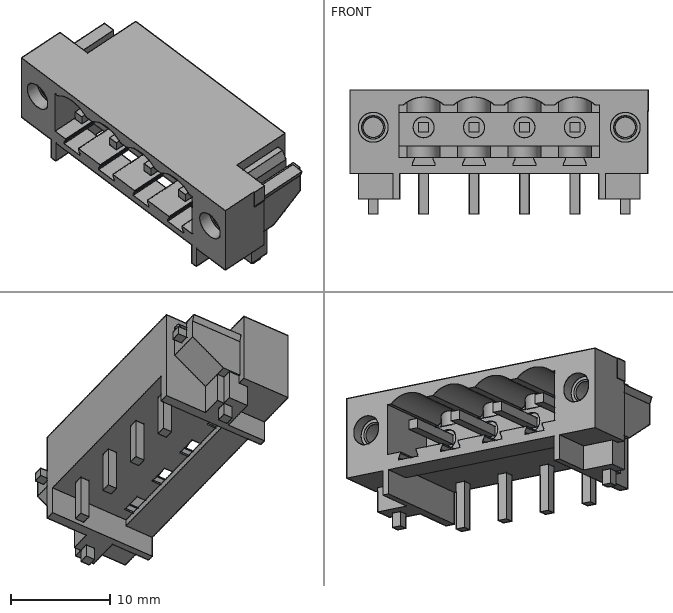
import cadquery as cq
import math


pole_count = 4
mount_spacing = 25.4
pin_size = 1.0
pin_height = 7.23
tail_length = 1.5

total_height = 11.0
total_depth = 12.0

flange_width = 30.12
flange_depth = 5.33
flange_bottom = 2.55
side_relief = 0.1
side_pad_depth = 1.35
side_pad_height = 2.1

body_width = 22.0
skirt_gap_width = 20.0
front_skirt_width = 21.4

socket_width = 20.18
socket_floor = 4.2
socket_ceiling = 9.45
socket_depth = 8.58
arch_radius = 3.05
band_bottom = 5.35
band_top = 8.73
band_front = 7.08
collar_recess_radius = 1.05
collar_recess_depth = 0.3
column_radius = 1.45
column_nose_half_width = 1.2
column_half_width = 1.65
column_flank_angle = 60

slot_floor = 3.37
slot_top_width = 1.87
slot_bottom_width = 2.3
slot_length = 4.13
slot_lip = 0.15
slot_toe = 0.2
undercut_start = 3.15

bracket_rear = 11.0
bracket_bottom = 3.55
bracket_rear_bottom = 5.95
bracket_slope_start = 7.3
bracket_outer = 14.3
lip_outer = 14.55
lip_top = 8.83
lip_bottom = 8.1
guide_top = 9.73
guide_edge = 11.65
leg_outer = 14.2
leg_front = 4.35

contact_tip = 0.9
contact_tail_rear = 10.48
anchor_front = 5.5

insert_radius = 1.5
insert_recess = 1.35
insert_end = 4.52
thread_radius = 1.02
thread_chamfer = 0.15

mount_place = mount_spacing / 2
pitch = mount_spacing / (pole_count + 1)
pole_places = [(i - (pole_count - 1) / 2) * pitch for i in range(pole_count)]
pin_half = pin_size / 2
pin_bottom = pin_height - pin_half
pin_top = pin_height + pin_half
anchor_inner = mount_place - pin_half
anchor_outer = mount_place + pin_half
anchor_tail_rear = anchor_front + pin_size


def box(x_range, y_range, z_range):
    """Box between two limits on each axis."""
    limits = (x_range, y_range, z_range)
    size = [high - low for low, high in limits]
    corner = [low for low, high in limits]
    return cq.Workplane("XY").box(*size, centered=False).translate(tuple(corner))


def centred_box(width, y_range, z_range):
    """Box centred on X = 0."""
    return box((-width / 2, width / 2), y_range, z_range)


def cylinder(x, z, radius, y_range):
    """Cylinder whose axis is parallel to Y."""
    start, end = y_range
    return cq.Workplane("XZ", origin=(x, start, z)).circle(radius).extrude(start - end)


def bent_pin(x, y_start, y_end, tail_front):
    """Square pin with a horizontal arm and a tail that goes down through the board."""
    x_range = (x - pin_half, x + pin_half)
    arm = box(x_range, (y_start, y_end), (pin_bottom, pin_top))
    tail = box(x_range, (tail_front, tail_front + pin_size), (-tail_length, pin_top))
    return arm.union(tail)


def make_contact(x):
    return bent_pin(x, contact_tip, contact_tail_rear, contact_tail_rear - pin_size)


def make_anchor(x):
    return bent_pin(x, anchor_front, total_depth, anchor_front)


def make_insert(x):
    """Bushing with a chamfered bore."""
    sleeve = cylinder(x, pin_height, insert_radius, (insert_recess, insert_end))
    bore = cylinder(x, pin_height, thread_radius, (insert_recess, insert_end))
    bore_rim = cq.selectors.RadiusNthSelector(0)
    return sleeve.cut(bore).faces("<Y").edges(bore_rim).chamfer(thread_chamfer)


def make_shell():
    """Solid body, flange and skirts before anything is hollowed out."""
    body = centred_box(body_width, (0, total_depth), (flange_bottom, total_height))
    flange = centred_box(flange_width, (0, flange_depth), (flange_bottom, total_height))
    rear_skirts = centred_box(body_width, (flange_depth, total_depth), (0, flange_bottom))
    front_skirts = centred_box(front_skirt_width, (0, flange_depth), (0, flange_bottom))
    skirt_gap = centred_box(skirt_gap_width, (0, total_depth), (0, flange_bottom))
    relief_range = (flange_width / 2 - side_relief, flange_width / 2)
    relief = box(relief_range, (0, flange_depth), (flange_bottom, total_height))
    pad = box(
        relief_range,
        (flange_depth - side_pad_depth, flange_depth),
        (total_height - side_pad_height, total_height),
    )
    flange = flange.cut(relief.cut(pad))
    skirts = rear_skirts.union(front_skirts).cut(skirt_gap)
    return body.union(flange).union(skirts)


def make_bracket():
    """Bracket on the +X side: snap lip, pin channel, guide slope and leg."""
    root = body_width / 2
    length = bracket_rear - flange_depth
    section = (
        cq.Workplane("XZ", origin=(0, flange_depth, 0))
        .polyline([
            (root, bracket_bottom),
            (bracket_outer, bracket_bottom),
            (bracket_outer, lip_bottom),
            (lip_outer, lip_top),
            (anchor_outer, lip_top),
            (anchor_outer, pin_bottom),
            (anchor_inner, pin_bottom),
            (anchor_inner, lip_top),
            (guide_edge, guide_top),
            (root, guide_top),
        ])
        .close()
        .extrude(-length)
    )
    underside = (
        cq.Workplane("YZ")
        .polyline([
            (bracket_slope_start, bracket_bottom),
            (bracket_rear, bracket_bottom),
            (bracket_rear, bracket_rear_bottom),
        ])
        .close()
        .extrude(lip_outer)
    )
    leg_inner = front_skirt_width / 2
    lower_leg = box((leg_inner, leg_outer), (leg_front, anchor_tail_rear), (0, flange_bottom))
    upper_leg = box((root, leg_outer), (flange_depth, anchor_tail_rear), (flange_bottom, bracket_bottom))
    rear_lug = box((root, anchor_outer), (anchor_tail_rear, bracket_slope_start), (0, bracket_bottom))
    return section.cut(underside).union(lower_leg).union(upper_leg).union(rear_lug)


def make_column(x):
    """Upright with a rounded nose and straight flanks, standing on the back wall."""
    flank_width = column_half_width - column_nose_half_width
    nose_end = socket_depth - flank_width * math.tan(math.radians(column_flank_angle))
    nose_rise = column_radius - math.sqrt(column_radius**2 - column_nose_half_width**2)
    return (
        cq.Workplane("XY", origin=(x, 0, socket_floor))
        .moveTo(-column_half_width, socket_depth)
        .lineTo(-column_nose_half_width, nose_end)
        .threePointArc((0, nose_end - nose_rise), (column_nose_half_width, nose_end))
        .lineTo(column_half_width, socket_depth)
        .close()
        .extrude(total_height - socket_floor)
    )


def make_socket():
    """Space that the plug enters, with the band and the columns left standing."""
    socket = centred_box(socket_width, (0, socket_depth), (socket_floor, socket_ceiling))
    for x in pole_places:
        arch = cylinder(x, pin_height, arch_radius, (0, socket_depth))
        above_ceiling = box(
            (x - arch_radius, x + arch_radius),
            (0, socket_depth),
            (socket_ceiling, total_height),
        )
        socket = socket.union(arch.intersect(above_ceiling))
    for x in pole_places:
        socket = socket.cut(make_column(x))
    band = centred_box(socket_width, (band_front, socket_depth), (band_bottom, band_top))
    socket = socket.cut(band)
    recess_range = (band_front, band_front + collar_recess_depth)
    for x in pole_places:
        collar_recess = cylinder(x, pin_height, collar_recess_radius, recess_range)
        socket = socket.union(collar_recess)
    return socket


def make_coding_slot(x):
    """Dovetail slot in the socket floor; its inner end breaks through into the undercut."""
    half_top = slot_top_width / 2
    half_bottom = slot_bottom_width / 2
    return (
        cq.Workplane("XZ", origin=(x, 0, 0))
        .polyline([
            (-half_bottom, slot_floor),
            (half_bottom, slot_floor),
            (half_bottom, slot_floor + slot_toe),
            (half_top, socket_floor - slot_lip),
            (half_top, socket_floor),
            (-half_top, socket_floor),
            (-half_top, socket_floor - slot_lip),
            (-half_bottom, slot_floor + slot_toe),
        ])
        .close()
        .extrude(-slot_length)
    )


def make_undercut():
    """Space between the skirts where the underside is raised to the slot floor."""
    return centred_box(skirt_gap_width, (undercut_start, total_depth), (flange_bottom, slot_floor))


contacts = [make_contact(x) for x in pole_places]
anchors = [make_anchor(x) for x in (-mount_place, mount_place)]
inserts = [make_insert(x) for x in (-mount_place, mount_place)]

bracket = make_bracket()
housing = make_shell().union(bracket).union(bracket.mirror("YZ"))
housing = housing.cut(make_socket()).cut(make_undercut())
for x in pole_places:
    housing = housing.cut(make_coding_slot(x))
for x in (-mount_place, mount_place):
    housing = housing.cut(cylinder(x, pin_height, insert_radius, (0, insert_end)))
for pin in contacts + anchors:
    housing = housing.cut(pin)

bodies = [housing] + contacts + anchors + inserts
result = cq.Compound.makeCompound([body.solids().val() for body in bodies])